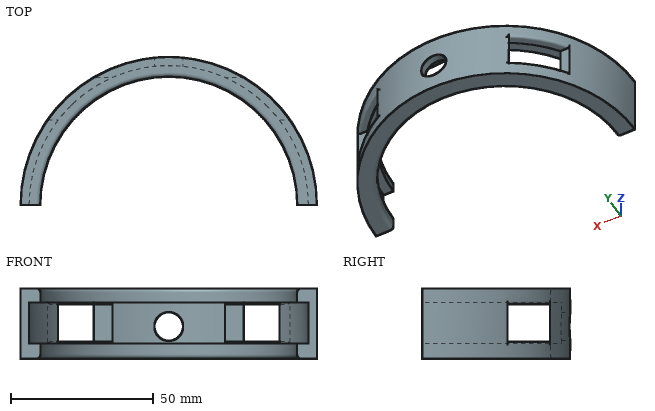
import cadquery as cq

outer_radius = 52.1
height = 24.8
lip_thickness = 7.0
wall_thickness = 3.0
lip_inner_radius = outer_radius - lip_thickness
groove_radius = outer_radius - wall_thickness
lip_fillet = 1.5

groove_center_z = 12.6
groove_height = 14.4

window_height = 13.1
window_front_y = 30.0
window_back_y = 44.9
window_edge_fillet = 0.9

hole_diameter = 10.0
hole_center_z = 11.4


def make_half_ring():
    """Half ring with rounded inner rims."""
    disc = cq.Workplane("XY").circle(outer_radius).circle(lip_inner_radius).extrude(height)
    rims = cq.selectors.RadiusNthSelector(0)
    ring = disc.edges("%CIRCLE").edges(rims).fillet(lip_fillet)
    back_half = cq.Workplane("XY").box(
        2 * outer_radius, outer_radius, height, centered=(True, False, False)
    )
    return ring.intersect(back_half)


def make_groove():
    """Disc that clears the channel between the two lips."""
    bottom_z = groove_center_z - groove_height / 2
    return cq.Workplane("XY").workplane(offset=bottom_z).circle(groove_radius).extrude(groove_height)


def make_windows():
    """Bar along X that opens a window on both sides."""
    depth_y = window_back_y - window_front_y
    center_y = (window_back_y + window_front_y) / 2
    return cq.Workplane("XY").box(2 * outer_radius, depth_y, window_height).translate(
        (0, center_y, groove_center_z)
    )


def make_hole():
    """Cylinder along +Y through the middle of the wall."""
    return (
        cq.Workplane("XZ", origin=(0, 0, hole_center_z))
        .circle(hole_diameter / 2)
        .extrude(-outer_radius)
    )


def outer_window_edges(body):
    """Upper and lower edges of the windows on the outer surface."""
    edges = []
    for side in (-1, 1):
        for level in (-1, 1):
            edge_z = groove_center_z + level * window_height / 2
            edge_y = (window_front_y + window_back_y) / 2
            edge_x = side * (outer_radius**2 - edge_y**2) ** 0.5
            nearest = cq.selectors.NearestToPointSelector((edge_x, edge_y, edge_z))
            edges.append(body.edges(nearest).val())
    return edges


body = make_half_ring().cut(make_groove()).cut(make_windows()).cut(make_hole())
result = body.newObject(outer_window_edges(body)).fillet(window_edge_fillet)